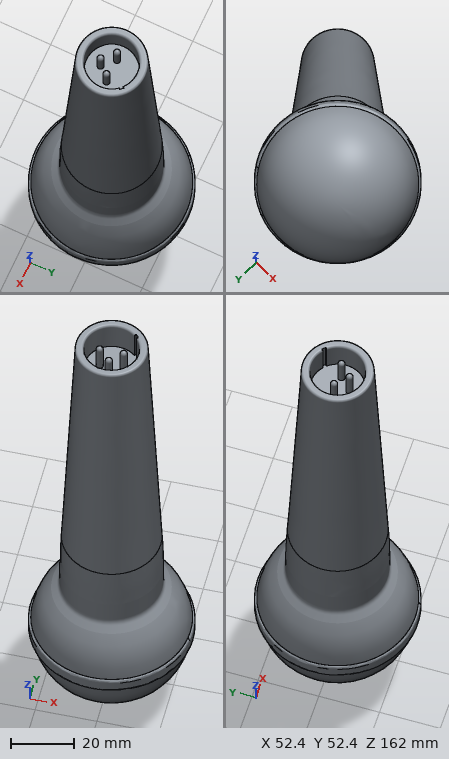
import cadquery as cq
import math

TOTAL_LENGTH = 162.0

BALL_RADIUS = 25.6
BAND_RADIUS = 26.2
BAND_BOTTOM = 23.2
BAND_TOP = 28.2
BAND_FILLET = 1.0

BALL_TOP = 42.8
NECK_BOTTOM = 46.7
NECK_RADIUS = 16.4
COLLAR_FILLET_RADIUS = 2.8
COLLAR_ANGLE = math.radians(45)

NECK_TOP = 54.1
GRIP_BOTTOM = 68.7
GRIP_BOTTOM_RADIUS = 15.9
GRIP_TOP_RADIUS = 11.5
RIM_FILLET = 0.8

SOCKET_RADIUS = 8.7
SOCKET_DEPTH = 10.0
KEYWAY_RADIUS = 9.4
KEYWAY_WIDTH = 1.3
KEYWAY_ANGLE = 45.0

PIN_RADIUS = 1.1
PIN_LENGTH = 9.2
PIN_CIRCLE_RADIUS = 3.9
PIN_ANGLES = (0.0, 180.0, 270.0)

BALL_CENTRE = BALL_RADIUS
SOCKET_FLOOR = TOTAL_LENGTH - SOCKET_DEPTH


def ball_radius_at(height):
    """Radius of the ball's horizontal section at the given height."""
    return math.sqrt(BALL_RADIUS**2 - (height - BALL_CENTRE) ** 2)


def revolve_about_axis(profile):
    """Turn a closed half profile, drawn as (radius, height), about the Z axis."""
    return profile.close().revolve(360, (0, 0), (0, 1))


def make_lower_head():
    """Lower bowl of the ball, ending in the rounded band."""
    bowl = revolve_about_axis(
        cq.Workplane("XZ")
        .moveTo(0, 0)
        .threePointArc((BALL_RADIUS, BALL_CENTRE), (ball_radius_at(BAND_TOP), BAND_TOP))
        .lineTo(0, BAND_TOP)
    )
    band = (
        cq.Workplane("XY", origin=(0, 0, BAND_BOTTOM))
        .circle(BAND_RADIUS)
        .extrude(BAND_TOP - BAND_BOTTOM)
        .edges()
        .fillet(BAND_FILLET)
    )
    return bowl.union(band)


def collar_fillet_point(angle):
    """Point (radius, height) on the collar fillet, measured from the neck."""
    radius = NECK_RADIUS + COLLAR_FILLET_RADIUS * (1 - math.cos(angle))
    height = NECK_BOTTOM - COLLAR_FILLET_RADIUS * math.sin(angle)
    return radius, height


def make_upper_head():
    """Upper part of the ball with its collar, neck and curved transition to the grip."""
    ball_middle = (BAND_TOP + BALL_TOP) / 2
    return revolve_about_axis(
        cq.Workplane("XZ")
        .moveTo(0, BAND_TOP)
        .lineTo(ball_radius_at(BAND_TOP), BAND_TOP)
        .threePointArc((ball_radius_at(ball_middle), ball_middle), (ball_radius_at(BALL_TOP), BALL_TOP))
        .lineTo(*collar_fillet_point(COLLAR_ANGLE))
        .threePointArc(collar_fillet_point(COLLAR_ANGLE / 2), (NECK_RADIUS, NECK_BOTTOM))
        .lineTo(NECK_RADIUS, NECK_TOP)
        .tangentArcPoint((GRIP_BOTTOM_RADIUS, GRIP_BOTTOM), relative=False)
        .lineTo(0, GRIP_BOTTOM)
    )


def make_keyway():
    """Volume of the straight keyway along the socket wall."""
    return (
        cq.Workplane("XY", origin=(0, 0, SOCKET_FLOOR))
        .rect(KEYWAY_RADIUS, KEYWAY_WIDTH, centered=(False, True))
        .extrude(SOCKET_DEPTH)
        .rotate((0, 0, 0), (0, 0, 1), KEYWAY_ANGLE)
    )


def make_grip():
    """Tapered grip with the connector socket in its end and a rim rounded inside and out."""
    taper = revolve_about_axis(
        cq.Workplane("XZ")
        .moveTo(0, GRIP_BOTTOM)
        .lineTo(GRIP_BOTTOM_RADIUS, GRIP_BOTTOM)
        .lineTo(GRIP_TOP_RADIUS, TOTAL_LENGTH)
        .lineTo(0, TOTAL_LENGTH)
    )
    bore = cq.Workplane("XY", origin=(0, 0, SOCKET_FLOOR)).circle(SOCKET_RADIUS).extrude(SOCKET_DEPTH)
    rounded = taper.cut(bore).faces(">Z").edges().fillet(RIM_FILLET)
    return rounded.cut(make_keyway())


def make_pin(angle):
    """Contact pin with a hemispherical tip, standing on the socket floor."""
    shank_length = PIN_LENGTH - PIN_RADIUS
    tip_offset = PIN_RADIUS * math.sqrt(0.5)
    pin = revolve_about_axis(
        cq.Workplane("XZ")
        .lineTo(PIN_RADIUS, 0)
        .lineTo(PIN_RADIUS, shank_length)
        .threePointArc((tip_offset, shank_length + tip_offset), (0, PIN_LENGTH))
    )
    return pin.translate((PIN_CIRCLE_RADIUS, 0, SOCKET_FLOOR)).rotate((0, 0, 0), (0, 0, 1), angle)


lower_head = make_lower_head()
upper_head = make_upper_head()
grip = make_grip()
pins = [make_pin(angle) for angle in PIN_ANGLES]

result = cq.Compound.makeCompound(
    [lower_head.val(), upper_head.val(), grip.val(), *[pin.val() for pin in pins]]
)